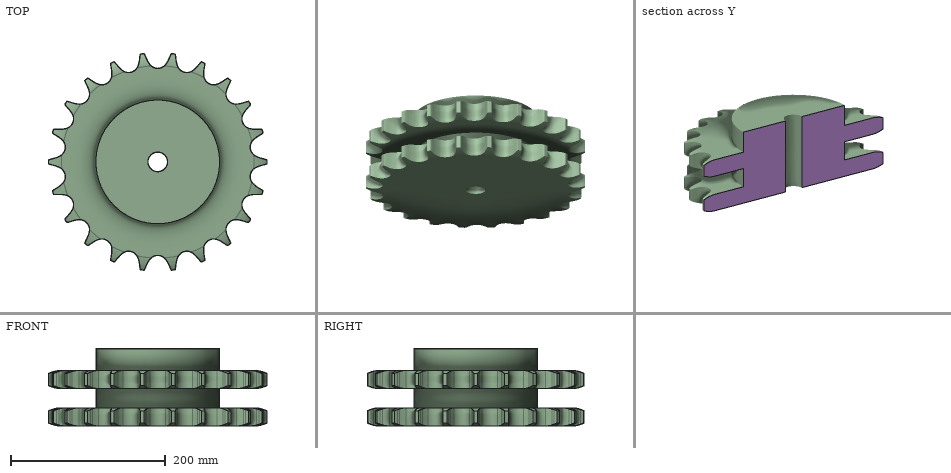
import cadquery as cq
import math


pitch = 38.1
roller_diameter = 25.4
strand_spacing = 48.36

tooth_count = 22
tip_radius = 282.7 / 2
tooth_width = 23.6
hub_diameter = 160.0
total_height = 100.0
bore_diameter = 25.0

relief_radius = 38.0
relief_depth = 4.0
relief_length = math.sqrt(relief_radius**2 - (relief_radius - relief_depth) ** 2)

tooth_angle = math.tau / tooth_count
pitch_radius = pitch / (2 * math.sin(tooth_angle / 2))
form_allowance = 0.0015 * 25.4
seat_factor = 0.5025
working_factor = 1.3025
working_offset = 0.8
topping_offset = 1.4
seat_end_angle = math.radians(35 + 60 / tooth_count)
working_sweep = math.radians(18 - 56 / tooth_count)
topping_angle = math.radians(17 - 64 / tooth_count)

seat_radius = seat_factor * roller_diameter + form_allowance
working_radius = working_factor * roller_diameter + form_allowance
topping_reach = topping_offset * math.cos(topping_angle) + working_offset * math.cos(working_sweep)
topping_radius = roller_diameter * (topping_reach - working_factor) - form_allowance
straight_factor = topping_offset * math.sin(topping_angle) - working_offset * math.sin(working_sweep)
straight_length = roller_diameter * straight_factor

gap_overrun = 10.0


def polar_step(origin, distance, angle):
    """Point at a distance and direction from the origin point."""
    return (origin[0] + distance * math.cos(angle), origin[1] + distance * math.sin(angle))


def mirrored(point):
    """Same point on the opposite flank of a gap centred on +X."""
    return (point[0], -point[1])


def topping_end(topping_centre):
    """Where the convex topping arc meets the tip circle, on the gap side of its centre."""
    distance = math.hypot(*topping_centre)
    cosine = (distance**2 + tip_radius**2 - topping_radius**2) / (2 * distance * tip_radius)
    angle = math.atan2(topping_centre[1], topping_centre[0]) - math.acos(cosine)
    return polar_step((0, 0), tip_radius, angle)


def gap_cutter():
    """Prism filling one tooth gap centred on +X: seat, working arcs, straights, topping arcs."""
    roller_centre = (pitch_radius, 0)
    root = (pitch_radius - seat_radius, 0)

    seat_end_direction = math.pi / 2 + seat_end_angle
    working_end_direction = seat_end_direction - working_sweep
    seat_end = polar_step(roller_centre, seat_radius, seat_end_direction)
    working_centre = polar_step(seat_end, -working_radius, seat_end_direction)
    working_mid = polar_step(working_centre, working_radius, seat_end_direction - working_sweep / 2)
    working_end = polar_step(working_centre, working_radius, working_end_direction)

    straight_end = polar_step(working_end, straight_length, working_end_direction - math.pi / 2)
    topping_centre = polar_step(straight_end, topping_radius, working_end_direction)
    tip = topping_end(topping_centre)
    start_direction = working_end_direction - math.pi
    end_direction = math.atan2(tip[1] - topping_centre[1], tip[0] - topping_centre[0])
    topping_mid = polar_step(topping_centre, topping_radius, (start_direction + end_direction) / 2)
    outer = (tip_radius + gap_overrun, tip[1])

    return (
        cq.Workplane("XY")
        .moveTo(*mirrored(outer))
        .lineTo(*mirrored(tip))
        .threePointArc(mirrored(topping_mid), mirrored(straight_end))
        .lineTo(*mirrored(working_end))
        .threePointArc(mirrored(working_mid), mirrored(seat_end))
        .threePointArc(root, seat_end)
        .threePointArc(working_mid, working_end)
        .lineTo(*straight_end)
        .threePointArc(topping_mid, tip)
        .lineTo(*outer)
        .close()
        .extrude(tooth_width)
    )


def toothed_disc():
    """One strand's disc, with curved relief on both sides of the rim and all gaps cut."""
    flat_radius = tip_radius - relief_length
    half_sweep = math.asin(relief_length / relief_radius) / 2
    mid_radius = flat_radius + relief_radius * math.sin(half_sweep)
    mid_drop = relief_radius * (1 - math.cos(half_sweep))
    disc = (
        cq.Workplane("XZ")
        .lineTo(flat_radius, 0)
        .threePointArc((mid_radius, mid_drop), (tip_radius, relief_depth))
        .lineTo(tip_radius, tooth_width - relief_depth)
        .threePointArc((mid_radius, tooth_width - mid_drop), (flat_radius, tooth_width))
        .lineTo(0, tooth_width)
        .close()
        .revolve(360, (0, 0, 0), (0, 1, 0))
    )
    cutter = gap_cutter()
    for index in range(tooth_count):
        angle = math.degrees((index + 0.5) * tooth_angle)
        disc = disc.cut(cutter.rotate((0, 0, 0), (0, 0, 1), angle))
    return disc


def sprocket():
    """Hub joined with two aligned toothed discs, bored through."""
    disc = toothed_disc()
    hub = cq.Workplane("XY").circle(hub_diameter / 2).extrude(total_height)
    body = hub.union(disc).union(disc.translate((0, 0, strand_spacing)))
    bore = cq.Workplane("XY").circle(bore_diameter / 2).extrude(total_height)
    return body.cut(bore)


result = sprocket()